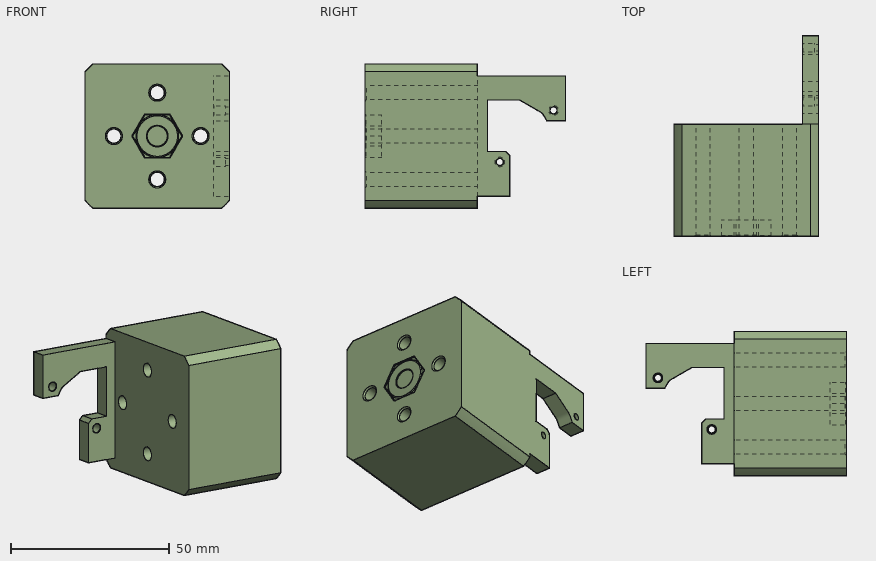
import cadquery as cq
import math

BLOCK_SIDE = 45.7
BLOCK_LENGTH = 35.55
BLOCK_CORNER_DIAMETER = 61.2
HALF_SIDE = BLOCK_SIDE / 2

MOUNT_COUNT = 4
MOUNT_OFFSET = 13.7
MOUNT_DIAMETER = 4.45
MOUNT_CHAMFER = 0.475

TOTAL_LENGTH = 63.5
ARM_THICKNESS = 5.1
ARM_HALF_HEIGHT = 19.05
WEB_END = 38.85
UPPER_JAW_TIP_Z = 4.8
UPPER_JAW_INNER_Z = 11.35
UPPER_JAW_TIP_END = 57.5
SLOPE_START = 48.95
SLOPE_ANGLE = 30.0
TIP_ANGLE = 60.0
SLOPE_FILLET = 2.55
LOWER_JAW_END = 45.85
LOWER_JAW_TOP_Z = -4.8
LOWER_JAW_CHAMFER = 1.3

UPPER_PIVOT = (59.7, 8.1)
LOWER_PIVOT = (42.7, -8.2)
PIVOT_DIAMETER = 2.15
PIVOT_BORE_DIAMETER = 2.8
PIVOT_CHAMFER = 0.1
PIVOT_BORE_DEPTH = 3.8

HEX_SIDES = 6
POCKET_FLATS = 13.45
POCKET_CHAMFER = 0.25
POCKET_CHAMFER_ANGLE = 45.0
NUT_FACE_DEPTH = 0.1
NUT_THICKNESS = 5.1
NUT_FACE_DIAMETER = 12.8
NUT_RIM_HEIGHT = 0.22
NUT_RIM_FLARE = 60.0
SHOULDER_DEPTH = NUT_FACE_DEPTH + NUT_RIM_HEIGHT
POCKET_DEPTH = NUT_FACE_DEPTH + NUT_THICKNESS

PIN_DIAMETER = 6.35
BORE_CHAMFER = 0.25
PIN_FACE_DEPTH = NUT_FACE_DEPTH + BORE_CHAMFER


def front_plane(depth):
    """Plane parallel to the front face at the given depth, with its normal along +Y."""
    return cq.Workplane(cq.Plane(origin=(0, depth, 0), xDir=(1, 0, 0), normal=(0, 1, 0)))


def cylinder(depth, diameter, length):
    """Cylinder on the nut axis that runs in +Y from the given depth."""
    return front_plane(depth).circle(diameter / 2).extrude(length)


def hexagon(depth, flats, length, taper=0):
    """Hexagonal prism on the nut axis with corners on the X axis, narrowing in +Y by the taper angle."""
    across_corners = flats / math.cos(math.pi / HEX_SIDES)
    return front_plane(depth).polygon(HEX_SIDES, across_corners).extrude(length, taper=taper)


def make_arm():
    slope = math.tan(math.radians(SLOPE_ANGLE))
    steep = math.tan(math.radians(TIP_ANGLE))
    rise = UPPER_JAW_INNER_Z - UPPER_JAW_TIP_Z
    run = UPPER_JAW_TIP_END - SLOPE_START
    corner_run = (steep * run - rise) / (steep - slope)
    corner_y = SLOPE_START + corner_run
    corner_z = UPPER_JAW_INNER_Z - slope * corner_run
    outline = [
        (BLOCK_LENGTH, -ARM_HALF_HEIGHT),
        (LOWER_JAW_END, -ARM_HALF_HEIGHT),
        (LOWER_JAW_END, LOWER_JAW_TOP_Z - LOWER_JAW_CHAMFER),
        (LOWER_JAW_END - LOWER_JAW_CHAMFER, LOWER_JAW_TOP_Z),
        (WEB_END, LOWER_JAW_TOP_Z),
        (WEB_END, UPPER_JAW_INNER_Z),
        (SLOPE_START, UPPER_JAW_INNER_Z),
        (corner_y, corner_z),
        (UPPER_JAW_TIP_END, UPPER_JAW_TIP_Z),
        (TOTAL_LENGTH, UPPER_JAW_TIP_Z),
        (TOTAL_LENGTH, ARM_HALF_HEIGHT),
        (BLOCK_LENGTH, ARM_HALF_HEIGHT),
    ]
    inner_face = HALF_SIDE - ARM_THICKNESS
    plane = cq.Workplane("YZ", origin=(inner_face, 0, 0))
    arm = plane.polyline(outline).close().extrude(ARM_THICKNESS)
    centres = plane.pushPoints([UPPER_PIVOT, LOWER_PIVOT])
    pivots = centres.circle(PIVOT_DIAMETER / 2).extrude(ARM_THICKNESS)
    counterbores = centres.circle(PIVOT_BORE_DIAMETER / 2).extrude(PIVOT_BORE_DEPTH)
    arm = arm.cut(pivots).cut(counterbores)
    arm = arm.faces("<X").edges("%CIRCLE").chamfer(PIVOT_CHAMFER)

    corner = cq.selectors.NearestToPointSelector((inner_face + ARM_THICKNESS / 2, corner_y, corner_z))
    return arm.edges("|X").edges(corner).fillet(SLOPE_FILLET)


def make_block():
    block = front_plane(0).rect(BLOCK_SIDE, BLOCK_SIDE).extrude(BLOCK_LENGTH)
    mount_centres = front_plane(0).polarArray(MOUNT_OFFSET, 0, 360, MOUNT_COUNT)
    mounts = mount_centres.circle(MOUNT_DIAMETER / 2).extrude(BLOCK_LENGTH)
    block = block.cut(mounts)
    block = block.faces("<Y").edges("%CIRCLE").chamfer(MOUNT_CHAMFER)
    return block.intersect(cylinder(0, BLOCK_CORNER_DIAMETER, BLOCK_LENGTH))


def make_pocket():
    """Hexagonal prism with a flared mouth."""
    pocket = hexagon(0, POCKET_FLATS, POCKET_DEPTH)
    mouth = hexagon(0, POCKET_FLATS + 2 * POCKET_CHAMFER, POCKET_CHAMFER, POCKET_CHAMFER_ANGLE)
    return pocket.union(mouth)


def make_housing():
    return make_block().cut(make_pocket()).union(make_arm())


def make_nut():
    nut = hexagon(SHOULDER_DEPTH, POCKET_FLATS, POCKET_DEPTH - SHOULDER_DEPTH)
    rim_face = front_plane(NUT_FACE_DEPTH).circle(NUT_FACE_DIAMETER / 2)
    rim = rim_face.extrude(NUT_RIM_HEIGHT, taper=-NUT_RIM_FLARE)
    rim = rim.intersect(hexagon(NUT_FACE_DEPTH, POCKET_FLATS, NUT_RIM_HEIGHT))
    nut = nut.union(rim)
    nut = nut.cut(cylinder(NUT_FACE_DEPTH, PIN_DIAMETER, NUT_THICKNESS))
    smallest_circle = cq.selectors.RadiusNthSelector(0)
    return nut.faces("<Y").edges(smallest_circle).chamfer(BORE_CHAMFER)


def make_pin():
    return cylinder(PIN_FACE_DEPTH, PIN_DIAMETER, POCKET_DEPTH - PIN_FACE_DEPTH)


housing = make_housing()
nut = make_nut()
pin = make_pin()
result = cq.Compound.makeCompound([housing.val(), nut.val(), pin.val()])